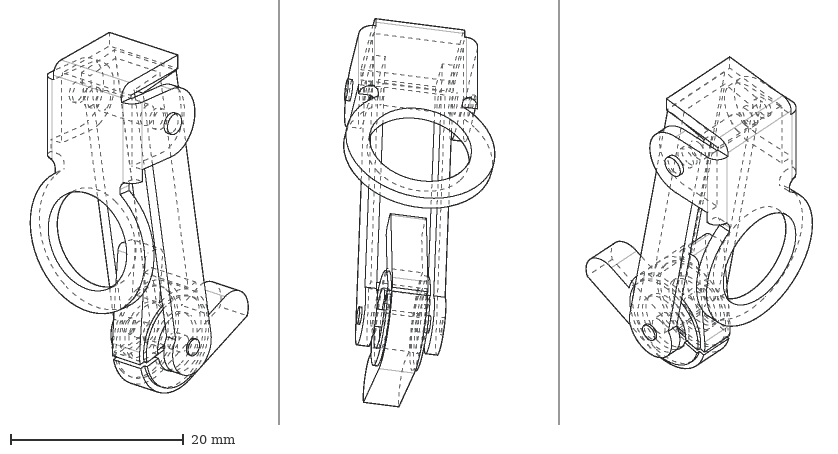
import cadquery as cq
import math

plate_thickness = 1.62
eye_radius = 17.5 / 2
eye_bore_diameter = 12.0
eye_z = 22.25
neck_half_width = 4.95
plate_half_width = 5.35
tab_half_width = 5.23
tab_slope = 5.0
tab_end_y = 9.95
tab_top_z = 43.9
tab_thickness = 1.7
tab_bend_radius = 1.5
lug_half_span = plate_half_width + plate_thickness
lug_bend_radius = 1.6
lug_top_z = 41.1
lug_height = 8.47
lug_strip_bottom_z = 31.15
relief_radius = 1.0

upper_pin_diameter = 2.5
upper_pin_length = 15.0
upper_pin_y = 6.7
upper_pin_z = lug_top_z - lug_height / 2
lower_pin_diameter = 2.0
lower_pin_length = 10.0
lower_pin_y = 13.05
lower_pin_z = 6.25

link_tilt = 10.0
link_width = 9.45
link_wall = 1.35
link_back = 3.42
link_front = 2.55
link_top = 35.5
link_web_bottom = 6.55

lever_width = 4.15
drum_width = 5.0
drum_radius = 5.55
drum_recess_radius = 3.5
drum_recess_depth = 0.6
cam_radius = lower_pin_z
tail_tilt = 25.0
tail_tip_radius = 2.9
tail_tip_along = 9.25
tail_tip_across = -4.15
blade_tilt = 5.0
blade_height = 12.15
blade_thickness = 3.07
blade_tip_radius = 0.8
slit_width = 0.53
slit_tilt = 12.0
slit_inner_radius = 1.55


def extrude_x(profile, width):
    """Extrude a YZ profile symmetrically about X = 0."""
    return profile.extrude(width / 2, both=True)


def cylinder_x(radius, width):
    return extrude_x(cq.Workplane("YZ").circle(radius), width)


def tilt(body, degrees):
    """Rotate about the X axis, turning +Y towards +Z."""
    return body.rotate((0, 0, 0), (1, 0, 0), degrees)


def box_between(x_range, y_range, z_range):
    sizes = [high - low for low, high in (x_range, y_range, z_range)]
    corner = (x_range[0], y_range[0], z_range[0])
    return cq.Workplane("XY").box(*sizes, centered=False).translate(corner)


def make_plate():
    depth = (0, plate_thickness)
    neck = box_between((-neck_half_width, neck_half_width), depth, (eye_z, lug_top_z))
    eye = cq.Workplane("XZ").center(0, eye_z).circle(eye_radius).extrude(-plate_thickness)
    bore = cq.Workplane("XZ").center(0, eye_z).circle(eye_bore_diameter / 2).extrude(-plate_thickness)
    plate = neck.union(eye)

    relief_x = neck_half_width + relief_radius
    relief_z = lug_strip_bottom_z - relief_radius
    for side in (-1, 1):
        x_range = sorted((side * neck_half_width, side * relief_x))
        corner_block = box_between(x_range, depth, (relief_z, lug_strip_bottom_z))
        relief = (
            cq.Workplane("XZ")
            .center(side * relief_x, relief_z)
            .circle(relief_radius)
            .extrude(-plate_thickness)
        )
        plate = plate.union(corner_block.cut(relief))

    shoulder = box_between((-lug_half_span, lug_half_span), depth, (lug_strip_bottom_z, lug_top_z))
    shoulder = shoulder.edges("|Z and <Y").fillet(lug_bend_radius)
    return plate.union(shoulder).cut(bore)


def make_tab():
    slope = math.tan(math.radians(tab_slope))
    thickness_z = tab_thickness / math.cos(math.radians(tab_slope))
    profile = (
        cq.Workplane("YZ")
        .moveTo(0, lug_top_z)
        .lineTo(0, tab_top_z - tab_end_y * slope)
        .lineTo(tab_end_y, tab_top_z)
        .lineTo(tab_end_y, tab_top_z - thickness_z)
        .lineTo(plate_thickness, tab_top_z - thickness_z - (tab_end_y - plate_thickness) * slope)
        .lineTo(plate_thickness, lug_top_z)
        .close()
    )
    tab = extrude_x(profile, 2 * tab_half_width)
    outer_corner = cq.selectors.NearestToPointSelector((0, 0, tab_top_z - tab_end_y * slope))
    return tab.edges("|X").edges(outer_corner).fillet(tab_bend_radius)


def make_lugs():
    lug_radius = lug_height / 2
    profile = (
        cq.Workplane("YZ")
        .moveTo(plate_thickness, lug_top_z)
        .lineTo(upper_pin_y, lug_top_z)
        .threePointArc((upper_pin_y + lug_radius, upper_pin_z), (upper_pin_y, lug_top_z - lug_height))
        .lineTo(plate_thickness, lug_top_z - lug_height)
        .close()
    )
    gap = box_between(
        (-plate_half_width, plate_half_width),
        (plate_thickness, upper_pin_y + lug_radius),
        (lug_top_z - lug_height, lug_top_z),
    )
    return extrude_x(profile, 2 * lug_half_span).cut(gap)


def make_link():
    front_z = math.sqrt(link_back**2 - link_front**2)
    profile = (
        cq.Workplane("YZ")
        .moveTo(link_back, 0)
        .lineTo(link_back, link_top)
        .lineTo(-link_front, link_top)
        .lineTo(-link_front, front_z)
        .threePointArc((0, -link_back), (link_back, 0))
        .close()
    )
    inner_half = link_width / 2 - link_wall
    inner = (-inner_half, inner_half)
    channel = box_between(inner, (-link_back, link_back - link_wall), (-link_back, link_top))
    below_web = box_between(inner, (-link_back, link_back), (-link_back, link_web_bottom))
    return tilt(extrude_x(profile, link_width).cut(channel).cut(below_web), link_tilt)


def make_lever():
    under_drop = cam_radius + tail_tip_across
    tip_under_along = tail_tip_along + math.sqrt(tail_tip_radius**2 - under_drop**2)
    tail_profile = (
        cq.Workplane("YZ")
        .moveTo(0, -cam_radius)
        .lineTo(tip_under_along, -cam_radius)
        .threePointArc(
            (tail_tip_along + tail_tip_radius, tail_tip_across),
            (tail_tip_along, tail_tip_across + tail_tip_radius),
        )
        .lineTo(0, tail_tip_across + tail_tip_radius)
        .close()
    )
    tail = tilt(extrude_x(tail_profile, lever_width), tail_tilt)

    blade = box_between(
        (-lever_width / 2, lever_width / 2),
        (-cam_radius, blade_thickness - cam_radius),
        (0, blade_height),
    )
    blade = tilt(blade.edges("|X and >Z").fillet(blade_tip_radius), -blade_tilt)

    slit = box_between(
        (-drum_width / 2, drum_width / 2),
        (-2 * cam_radius, -slit_inner_radius),
        (-slit_width / 2, slit_width / 2),
    )
    lever = cylinder_x(cam_radius, lever_width).union(cylinder_x(drum_radius, drum_width))
    lever = lever.union(tail).union(blade).cut(tilt(slit, slit_tilt))

    floor_width = drum_width - 2 * drum_recess_depth
    recess = cylinder_x(drum_recess_radius, drum_width).cut(cylinder_x(drum_recess_radius, floor_width))
    return lever.cut(recess)


upper_pin = cylinder_x(upper_pin_diameter / 2, upper_pin_length).translate((0, upper_pin_y, upper_pin_z))
lower_pin = cylinder_x(lower_pin_diameter / 2, lower_pin_length)
lower_group = make_link().union(make_lever()).union(lower_pin).translate((0, lower_pin_y, lower_pin_z))
result = make_plate().union(make_tab()).union(make_lugs()).union(upper_pin).union(lower_group)